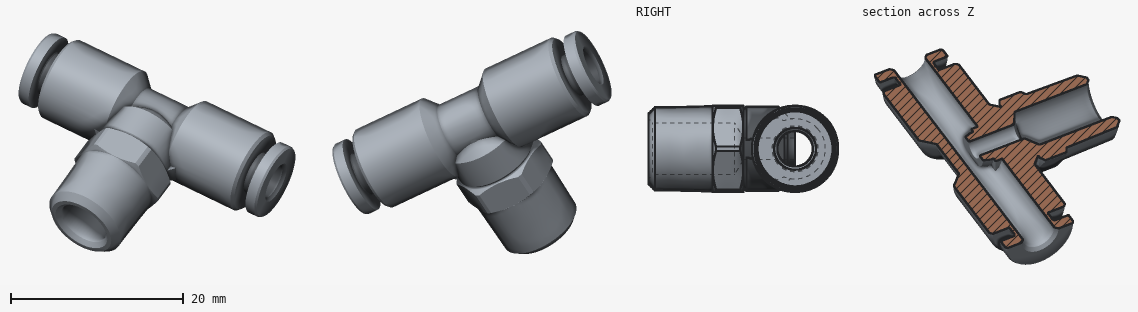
import cadquery as cq
import math


body_radius = 5.0
body_half_length = 13.25
body_chamfer_length = 0.35
body_chamfer_depth = 0.3
waist_radius = 3.5
waist_half_length = 2.7
shoulder_inner_x = waist_half_length + body_radius - waist_radius

collar_end_x = 16.1
collar_back_x = 14.65
collar_radius = 4.5
collar_chamfer_length = 0.25
collar_chamfer_depth = 0.15
sleeve_radius = 2.55
sleeve_flare = 0.12

tube_bore_radius = 2.05
tube_bore_chamfer = 0.38
tube_stop_x = 3.0

boss_radius = 4.88
boss_top_y = -1.95
boss_bottom_y = -5.65
boss_bottom_chamfer = 0.32

rib_reach = 5.62
rib_half_angle = math.radians(12)

hex_across_flats = 10.0
hex_across_corners = hex_across_flats / math.cos(math.radians(30))
hex_corner_radius = 5.62
hex_face_radius = 4.95
hex_top_y = boss_bottom_y - boss_bottom_chamfer
hex_bottom_y = -9.55
hex_chamfer_length = (hex_corner_radius - hex_face_radius) * math.tan(math.radians(30))

thread_end_y = -17.0
thread_start_radius = 4.97
thread_end_radius = 4.83
thread_chamfer = 0.8

stem_top_y = 0.0
stem_tip_radius = 2.2
stem_radius = 2.5
stem_cone_end_y = -0.85
stem_seat_y = -1.2
stem_hole_radius = 1.25
branch_bore_radius = 3.0
branch_bore_chamfer = 0.5
branch_bore_end_y = -7.0
drill_half_angle = math.radians(59)


def revolve_about_x(points):
    """Revolve (x, radius) points about the X axis."""
    return cq.Workplane("XY").polyline(points).close().revolve(360, (0, 0, 0), (1, 0, 0))


def revolve_about_y(points):
    """Revolve (radius, y) points about the Y axis."""
    return cq.Workplane("XY").polyline(points).close().revolve(360, (0, 0, 0), (0, 1, 0))


def make_run():
    """Waisted body with a sleeve and release collar at both ends."""
    half_profile = [
        (waist_half_length, waist_radius),
        (shoulder_inner_x, body_radius),
        (body_half_length - body_chamfer_length, body_radius),
        (body_half_length, body_radius - body_chamfer_depth),
        (body_half_length, sleeve_radius),
        (collar_back_x - sleeve_flare, sleeve_radius),
        (collar_back_x, sleeve_radius + sleeve_flare),
        (collar_back_x, collar_radius),
        (collar_end_x - collar_chamfer_length, collar_radius),
        (collar_end_x, collar_radius - collar_chamfer_depth),
        (collar_end_x, 0),
    ]
    mirrored_profile = [(-x, radius) for x, radius in reversed(half_profile)]
    return revolve_about_x(mirrored_profile + half_profile)


def make_rib_wedges():
    """Two opposite wedges with their points on the Y axis, opening toward +X and -X."""
    wedge_length = 2 * rib_reach
    half_width = wedge_length * math.tan(rib_half_angle)
    return (
        cq.Workplane("XZ")
        .polyline([(0, 0), (wedge_length, half_width), (wedge_length, -half_width)])
        .close()
        .polyline([(0, 0), (-wedge_length, half_width), (-wedge_length, -half_width)])
        .close()
        .extrude(-hex_top_y)
    )


def make_boss():
    """Branch boss with a 45 degree top cone and a flared bottom collar cut back to two ribs."""
    top_cone_height = boss_radius - waist_radius
    rib_top_y = boss_bottom_y + rib_reach - boss_radius
    flared_boss = revolve_about_y([
        (0, stem_top_y),
        (waist_radius, stem_top_y),
        (waist_radius, boss_top_y + top_cone_height),
        (boss_radius, boss_top_y),
        (boss_radius, rib_top_y),
        (rib_reach, rib_top_y),
        (boss_radius - boss_bottom_chamfer, hex_top_y),
        (0, hex_top_y),
    ])
    flare = revolve_about_y([
        (boss_radius, rib_top_y),
        (rib_reach, rib_top_y),
        (rib_reach, boss_bottom_y),
        (boss_radius, boss_bottom_y),
    ])
    return flared_boss.cut(flare.cut(make_rib_wedges()))


def make_hexagon():
    """Hexagon with flats facing +Z and -Z, its corners turned and chamfered."""
    prism = (
        cq.Workplane("XZ", origin=(0, hex_top_y, 0))
        .polygon(6, hex_across_corners)
        .extrude(hex_top_y - hex_bottom_y)
    )
    turned = revolve_about_y([
        (0, hex_top_y),
        (hex_face_radius, hex_top_y),
        (hex_corner_radius, hex_top_y - hex_chamfer_length),
        (hex_corner_radius, hex_bottom_y + hex_chamfer_length),
        (hex_face_radius, hex_bottom_y),
        (0, hex_bottom_y),
    ])
    return prism.intersect(turned)


def make_thread():
    """Plain tapered envelope of the male thread."""
    return revolve_about_y([
        (0, hex_bottom_y),
        (thread_start_radius, hex_bottom_y),
        (thread_end_radius, thread_end_y + thread_chamfer),
        (thread_end_radius - thread_chamfer, thread_end_y),
        (0, thread_end_y),
    ])


def make_tube_bore():
    """Run bore: full round up to the tube stops, open above the stem seat between them."""
    mouth_radius = tube_bore_radius + tube_bore_chamfer
    bore = cq.Workplane("YZ").circle(tube_bore_radius).extrude(collar_end_x, both=True)
    seat_height = tube_bore_radius + stem_seat_y
    seat = cq.Workplane("XY").box(2 * tube_stop_x, seat_height, 2 * tube_bore_radius)
    seat = seat.translate((0, stem_seat_y - seat_height / 2, 0))
    stem = revolve_about_y([
        (0, stem_top_y),
        (stem_tip_radius, stem_top_y),
        (stem_radius, stem_cone_end_y),
        (stem_radius, stem_seat_y),
        (0, stem_seat_y),
    ])
    bore = bore.cut(seat).cut(stem)
    for side in (1, -1):
        bore = bore.union(revolve_about_x([
            (side * collar_end_x, 0),
            (side * collar_end_x, mouth_radius),
            (side * (collar_end_x - tube_bore_chamfer), tube_bore_radius),
            (side * (collar_end_x - tube_bore_chamfer), 0),
        ]))
    return bore


def make_branch_bore():
    """Wide bore from the threaded end, narrowing through a cone to the stem hole."""
    cone_length = (branch_bore_radius - stem_hole_radius) / math.tan(drill_half_angle)
    return revolve_about_y([
        (0, stem_top_y),
        (stem_hole_radius, stem_top_y),
        (stem_hole_radius, branch_bore_end_y + cone_length),
        (branch_bore_radius, branch_bore_end_y),
        (branch_bore_radius, thread_end_y + branch_bore_chamfer),
        (branch_bore_radius + branch_bore_chamfer, thread_end_y),
        (0, thread_end_y),
    ])


outside = make_run().union(make_boss()).union(make_hexagon()).union(make_thread())
result = outside.cut(make_tube_bore()).cut(make_branch_bore())